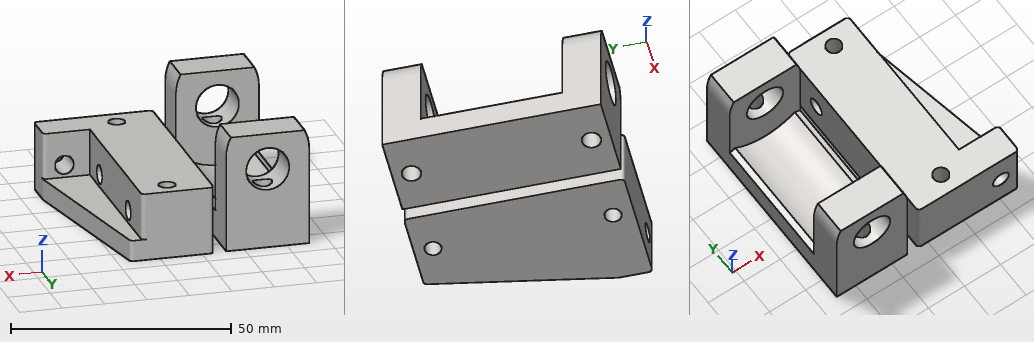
import cadquery as cq
import math

cradle_width = 19.6
cradle_length = 51.0
cradle_height = 27.5
lug_thickness = 9.0
shoulder_height = 23.0
bore_diameter = 10.1
bore_height = 19.0
trough_radius = 14.3
trough_half_width = 8.25
trough_outer_edge_height = 6.7
lug_hole_diameter = 4.4

body_gap = 3.0
bracket_width = 28.0
bracket_length = 51.39
bracket_height = 16.0
block_width = 17.0
foot_length = 8.0
flange_thickness = 5.0
flange_tip_width = 19.6
corner_radius = 1.0
mount_hole_diameter = 3.9
mount_hole_x = 9.8
mount_hole_ys = (4.9, 46.9)
cross_hole_diameter = 4.4
cross_hole_height = bracket_height / 2
side_hole_ys = (16.0, 40.0)
foot_hole_inset = 5.0

cradle_middle = cradle_width / 2
lug_middles = (lug_thickness / 2, cradle_length - lug_thickness / 2)
bracket_left = cradle_width + body_gap


def xz_plane(y):
    """Plane at the given Y with local axes X and Z; a negative depth extrudes toward +Y."""
    return cq.Workplane("XZ", origin=(0, y, 0))


def make_cradle():
    shoulder_radius = cradle_middle
    shoulder_rise = cradle_height - shoulder_height
    shoulder_inset = shoulder_radius - math.sqrt(shoulder_radius**2 - shoulder_rise**2)
    half_angle = math.asin(shoulder_rise / shoulder_radius) / 2
    arc_inset = shoulder_radius * (1 - math.cos(half_angle))
    arc_height = shoulder_height + shoulder_radius * math.sin(half_angle)
    cradle = (
        xz_plane(0)
        .moveTo(0, 0)
        .lineTo(cradle_width, 0)
        .lineTo(cradle_width, shoulder_height)
        .threePointArc((cradle_width - arc_inset, arc_height), (cradle_width - shoulder_inset, cradle_height))
        .lineTo(shoulder_inset, cradle_height)
        .threePointArc((arc_inset, arc_height), (0, shoulder_height))
        .close()
        .extrude(-cradle_length)
    )

    trough_edge_height = bore_height - math.sqrt(trough_radius**2 - trough_half_width**2)
    opening = (
        xz_plane(lug_thickness)
        .moveTo(0, cradle_height)
        .lineTo(0, trough_outer_edge_height)
        .lineTo(cradle_middle - trough_half_width, trough_edge_height)
        .threePointArc(
            (cradle_middle, bore_height - trough_radius),
            (cradle_middle + trough_half_width, trough_edge_height),
        )
        .lineTo(cradle_width, trough_outer_edge_height)
        .lineTo(cradle_width, cradle_height)
        .close()
        .extrude(-(cradle_length - 2 * lug_thickness))
    )

    bore = xz_plane(0).center(cradle_middle, bore_height).circle(bore_diameter / 2).extrude(-cradle_length)

    lug_holes = (
        cq.Workplane("XY")
        .pushPoints([(cradle_middle, y) for y in lug_middles])
        .circle(lug_hole_diameter / 2)
        .extrude(bore_height)
    )
    return cradle.cut(opening).cut(bore).cut(lug_holes)


def make_bracket():
    flange = (
        cq.Workplane("XY", origin=(bracket_left, 0, 0))
        .polyline([
            (0, 0),
            (bracket_width, 0),
            (bracket_width, foot_length),
            (flange_tip_width, bracket_length),
            (0, bracket_length),
        ])
        .close()
        .extrude(flange_thickness)
        .edges("|Z")
        .fillet(corner_radius)
    )
    upper = (
        cq.Workplane("XY", origin=(bracket_left, 0, 0))
        .polyline([
            (0, 0),
            (bracket_width, 0),
            (bracket_width, foot_length),
            (block_width, foot_length),
            (block_width, bracket_length),
            (0, bracket_length),
        ])
        .close()
        .extrude(bracket_height)
    )
    inner_corner = cq.NearestToPointSelector(
        (bracket_left + block_width, foot_length, bracket_height / 2)
    )
    outer_corners = cq.StringSyntaxSelector("|Z") - inner_corner
    upper = upper.edges(outer_corners).fillet(corner_radius)

    mount_holes = (
        cq.Workplane("XY")
        .pushPoints([(bracket_left + mount_hole_x, y) for y in mount_hole_ys])
        .circle(mount_hole_diameter / 2)
        .extrude(bracket_height)
    )
    side_holes = (
        cq.Workplane("YZ", origin=(bracket_left, 0, 0))
        .pushPoints([(y, cross_hole_height) for y in side_hole_ys])
        .circle(cross_hole_diameter / 2)
        .extrude(block_width)
    )
    foot_hole = (
        xz_plane(0)
        .center(bracket_left + bracket_width - foot_hole_inset, cross_hole_height)
        .circle(cross_hole_diameter / 2)
        .extrude(-foot_length)
    )
    return upper.union(flange).cut(mount_holes).cut(side_holes).cut(foot_hole)


cradle = make_cradle()
bracket = make_bracket()

result = cq.Compound.makeCompound([cradle.val(), bracket.val()])